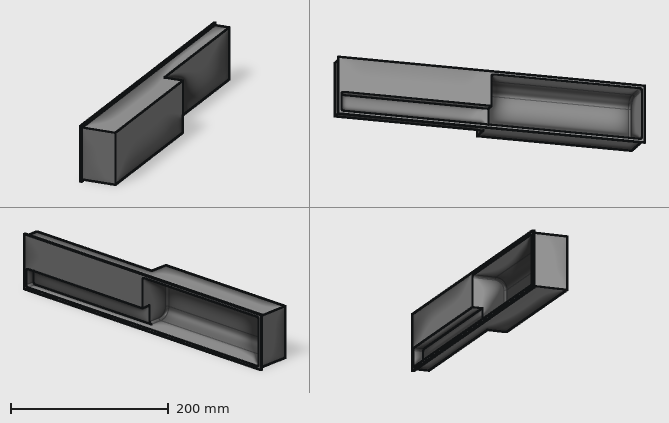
import cadquery as cq

plate_length = 408.0
plate_height = 75.0
plate_thickness = 2.0
body_end_inset = 2.0
body_side_inset = 2.25
total_depth = 48.0
shallow_body_depth = 22.0
deep_body_end_y = 4.0

rim = 4.0
deep_pocket_end_y = 0.0
deep_pocket_depth = 46.0
trough_radius = 15.0
corner_radius = 3.0
shallow_pocket_depth = 13.5
shallow_pocket_top_z = -8.5

plate_end_y = plate_length / 2
plate_top_z = plate_height / 2
body_end_y = plate_end_y - body_end_inset
body_top_z = plate_top_z - body_side_inset
pocket_end_y = plate_end_y - rim
pocket_top_z = plate_top_z - rim


def block(x_range, y_range, z_range):
    """Box spanning the given ranges along X, Y and Z."""
    (x0, x1), (y0, y1), (z0, z1) = x_range, y_range, z_range
    return cq.Workplane("XY").box(x1 - x0, y1 - y0, z1 - z0, centered=False).translate((x0, y0, z0))


def make_housing():
    """Front plate backed by a shallow body that steps out to a deep body."""
    plate = block((0, plate_thickness), (-plate_end_y, plate_end_y), (-plate_top_z, plate_top_z))
    body_z = (-body_top_z, body_top_z)
    shallow_body = block((0, shallow_body_depth), (-body_end_y, body_end_y), body_z)
    deep_body = block((0, total_depth), (-body_end_y, deep_body_end_y), body_z)
    return plate.union(shallow_body).union(deep_body)


def make_deep_pocket():
    """Trough with large rounded lengthwise edges and small fillets around both ends."""
    pocket = block(
        (0, deep_pocket_depth),
        (-pocket_end_y, deep_pocket_end_y),
        (-pocket_top_z, pocket_top_z),
    )
    pocket = pocket.faces(">X").edges("|Y").fillet(trough_radius)
    end_edges = pocket.faces("<Y or >Y").edges("not <X")
    return end_edges.fillet(corner_radius)


def make_shallow_pocket():
    """Flat-bottomed channel with a rounded closed end.

    Its other end runs past the corner fillet of the deep pocket, so the two are open to each other.
    """
    channel_start_y = deep_pocket_end_y - corner_radius
    channel = block(
        (0, shallow_pocket_depth),
        (channel_start_y, pocket_end_y),
        (-pocket_top_z, shallow_pocket_top_z),
    )
    return channel.faces(">Y").edges("|X").fillet(corner_radius)


result = make_housing().cut(make_deep_pocket()).cut(make_shallow_pocket())